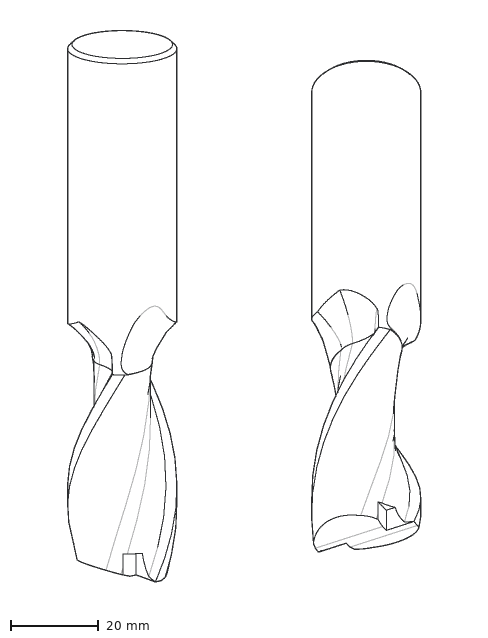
import cadquery as cq
import math

tool_length = 125.0
tool_radius = 12.5
cutting_length = 50.0
runout_length = 17.5
shank_chamfer = 1.0

tooth_count = 2
tooth_pitch = 360.0 / tooth_count
helix_angle = 30.0
lead = 2 * math.pi * tool_radius / math.tan(math.radians(helix_angle))
cutting_twist = 360.0 * cutting_length / lead

core_radius = 6.5
margin_angle = 13.0
back_angle = 45.0
back_radius = 9.6
heel_angle = 104.0
flute_angle = 138.0
rake_angle = 178.0
rake_radius = 10.0
flute_sag = 0.4

back_runout = 15.9
heel_runout = 8.8
flute_runout = 11.2
rake_runout = 5.0
runout_steps = 5
runout_limit = 22.5
runout_margin_angle = 1.0
margin_regrowth = 36.0
margin_taper = 3.6
runout_margin = 12.9

tip_flat_half_width = 1.8
tip_relief_angle = 18.0
gash_start = 5.2
gash_height = 5.6


def polar(radius, angle):
    """Point in the XY plane at a radius and an angle in degrees."""
    return (radius * math.cos(math.radians(angle)), radius * math.sin(math.radians(angle)))


def grown(radius, height, full_height, power=2):
    """Radius of an outline point that curves out and crosses the shank surface at full_height."""
    growth = (tool_radius - radius) * (height / full_height) ** power
    return min(radius + growth, runout_limit)


def tooth_outline(margin=tool_radius, height=0.0, base=0.0, turn=0.0):
    """Closed cutter outline, with runout grown for a height above the base and turned about Z."""
    margin_end = max(runout_margin_angle, margin_angle - margin_taper * height)
    margin_end += margin_regrowth * (height / runout_length) ** 2
    back = grown(back_radius, height, back_runout, 1)
    heel = grown(core_radius, height, heel_runout)
    flute = grown(core_radius, height, flute_runout)
    rake = grown(rake_radius, height, rake_runout)

    outline = cq.Workplane("XY", origin=(0, 0, base + height))
    outline = outline.moveTo(*polar(margin, turn))
    for tooth in range(tooth_count):
        start = turn + tooth * tooth_pitch
        core_middle = polar((heel + flute) / 2, start + (heel_angle + flute_angle) / 2)
        flute_end = polar(flute, start + flute_angle)
        rake_end = polar(rake, start + rake_angle)
        run_x = rake_end[0] - flute_end[0]
        run_y = rake_end[1] - flute_end[1]
        chord = math.hypot(run_x, run_y)
        flute_middle = (
            (flute_end[0] + rake_end[0]) / 2 - flute_sag * run_y / chord,
            (flute_end[1] + rake_end[1]) / 2 + flute_sag * run_x / chord,
        )
        outline = (
            outline
            .threePointArc(polar(margin, start + margin_end / 2), polar(margin, start + margin_end))
            .threePointArc(polar(back, start + back_angle), polar(heel, start + heel_angle))
            .threePointArc(core_middle, flute_end)
            .threePointArc(flute_middle, rake_end)
            .lineTo(*polar(margin, start + tooth_pitch))
        )
    return outline.close()


def tip_relief():
    """Wedge below the tooth ends that rises away from the flat end cutting edges, on the -Y side."""
    reach = 2 * tool_radius
    rise = (reach - tip_flat_half_width) * math.tan(math.radians(tip_relief_angle))
    return (
        cq.Workplane("YZ")
        .polyline([(-tip_flat_half_width, 0), (-reach, 0), (-reach, rise)])
        .close()
        .extrude(tool_radius * 2, both=True)
    )


def gash():
    """Pocket in front of the end cutting edge on the -X side."""
    size = 2 * tool_radius
    return (
        cq.Workplane("XY")
        .box(size, size, gash_height, centered=False)
        .translate((-gash_start - size, 0, 0))
    )


def make_cutter():
    cutter = tooth_outline().twistExtrude(cutting_length, cutting_twist)
    for tooth in range(tooth_count):
        for tool in (tip_relief(), gash()):
            cutter = cutter.cut(tool.rotate((0, 0, 0), (0, 0, 1), tooth * tooth_pitch))
    return cutter


def make_runout():
    """Part of the shank where the flutes fade out."""
    sections = []
    for step in range(runout_steps + 1):
        height = step * runout_length / runout_steps
        sections.append(tooth_outline(runout_margin, height, cutting_length, cutting_twist).val())
    faded = cq.Workplane(cq.Solid.makeLoft(sections, False))
    envelope = cq.Workplane("XY", origin=(0, 0, cutting_length)).circle(tool_radius).extrude(runout_length)
    return envelope.intersect(faded)


def make_shank():
    runout_top = cutting_length + runout_length
    shank = (
        cq.Workplane("XY", origin=(0, 0, runout_top))
        .circle(tool_radius)
        .extrude(tool_length - runout_top)
        .faces(">Z")
        .chamfer(shank_chamfer)
    )
    return shank.union(make_runout())


cutter = make_cutter()
shank = make_shank()

result = cq.Compound.makeCompound([cutter.val(), shank.val()])